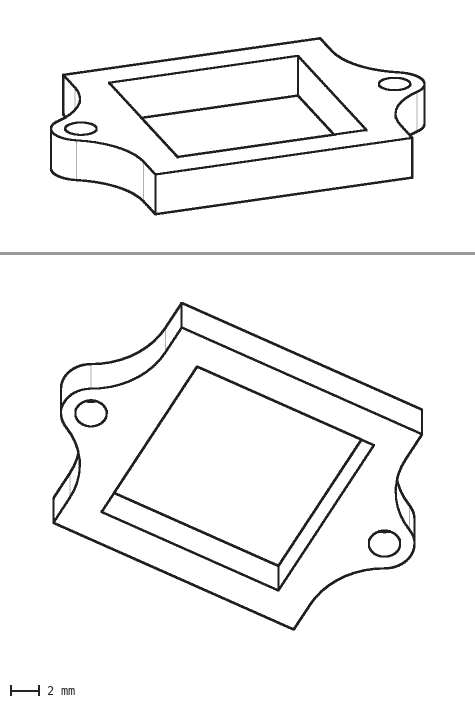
import cadquery as cq
import math

frame_width = 18.8
frame_length = 19.0
overall_length = 27.4
thickness = 3.0
window_side = 13.97
hole_diameter = 2.2
hole_spacing = 23.2

hole_y = hole_spacing / 2
tip_radius = overall_length / 2 - hole_y

edge_y = frame_length / 2
flank_x = window_side / 2
tip_rise = hole_y - edge_y
flank_radius = (flank_x**2 + tip_rise**2 - tip_radius**2) / (2 * (tip_rise + tip_radius))
flank_center_y = edge_y + flank_radius

joint_angle = math.atan2(flank_center_y - hole_y, flank_x)
joint_x = tip_radius * math.cos(joint_angle)
joint_y = hole_y + tip_radius * math.sin(joint_angle)

flank_mid_angle = (joint_angle + math.pi / 2) / 2
flank_mid_x = flank_x - flank_radius * math.cos(flank_mid_angle)
flank_mid_y = flank_center_y - flank_radius * math.sin(flank_mid_angle)


def make_ear(side):
    """Ear on the +Y (side = 1) or -Y (side = -1) edge, rooted at the window edge."""
    root_y = side * window_side / 2
    return (
        cq.Workplane("XY")
        .moveTo(-flank_x, root_y)
        .lineTo(flank_x, root_y)
        .lineTo(flank_x, side * edge_y)
        .threePointArc((flank_mid_x, side * flank_mid_y), (joint_x, side * joint_y))
        .threePointArc((0, side * overall_length / 2), (-joint_x, side * joint_y))
        .threePointArc((-flank_mid_x, side * flank_mid_y), (-flank_x, side * edge_y))
        .close()
        .extrude(thickness)
    )


body = cq.Workplane("XY").rect(frame_width, frame_length).extrude(thickness)
for side in (1, -1):
    body = body.union(make_ear(side))

window = cq.Workplane("XY").rect(window_side, window_side).extrude(thickness)
holes = (
    cq.Workplane("XY")
    .pushPoints([(0, hole_y), (0, -hole_y)])
    .circle(hole_diameter / 2)
    .extrude(thickness)
)
result = body.cut(window).cut(holes).clean()